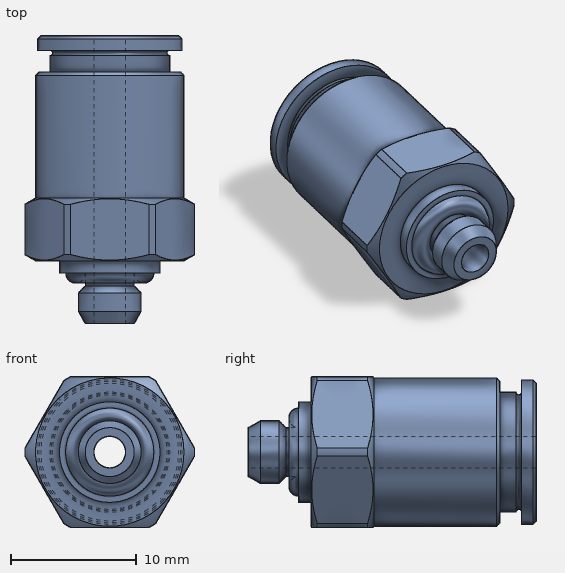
import cadquery as cq
import math

total_length = 22.9
bore_diameter = 2.5

nipple_radius = 5.0 / 2
neck_radius = 3.9 / 2
tip_radius = neck_radius
tip_chamfer_end = 0.98
nipple_end = 2.45
neck_start = 3.0

flange_radius = 8.0 / 2
flange_start = 4.0
seal_outer_radius = 7.0 / 2
seal_middle_radius = (seal_outer_radius + neck_radius) / 2
seal_section_radius = (seal_outer_radius - neck_radius) / 2

hex_start = 5.0
hex_length = 5.0
hex_end = hex_start + hex_length
hex_flats = 12.0
hex_corners = 13.5
hex_trim_angle = 30.0

body_radius = 11.8 / 2
body_end = total_length - 2.89
edge_chamfer = 0.27

collar_radius = 9.55 / 2
groove_floor_radius = 9.11 / 2
groove_end_radius = 9.35 / 2
cap_radius = 11.5 / 2
cap_start = total_length - 1.2
groove_width = 0.41
groove_start = cap_start - groove_width


def revolve_about_y(profile):
    return profile.close().revolve(360, (0, 0, 0), (0, 1, 0))


def make_nipple():
    """Nipple, neck, seal ring and flange, up to the hexagon."""
    return revolve_about_y(
        cq.Workplane("XY")
        .lineTo(tip_radius, 0)
        .lineTo(nipple_radius, tip_chamfer_end)
        .lineTo(nipple_radius, nipple_end)
        .lineTo(neck_radius, neck_start)
        .lineTo(neck_radius, flange_start)
        .threePointArc(
            (seal_middle_radius, flange_start - seal_section_radius),
            (seal_outer_radius, flange_start),
        )
        .lineTo(flange_radius, flange_start)
        .lineTo(flange_radius, hex_start)
        .lineTo(0, hex_start)
    )


def make_hexagon():
    """Hexagon with flats at top and bottom, trimmed at both ends."""
    prism = (
        cq.Workplane("XZ", origin=(0, hex_end, 0))
        .polygon(6, hex_flats / math.cos(math.pi / 6))
        .extrude(hex_length)
    )
    corner_radius = hex_corners / 2
    trim_length = (corner_radius - body_radius) * math.tan(math.radians(hex_trim_angle))
    envelope = revolve_about_y(
        cq.Workplane("XY")
        .moveTo(0, hex_start)
        .lineTo(body_radius, hex_start)
        .lineTo(corner_radius, hex_start + trim_length)
        .lineTo(corner_radius, hex_end - trim_length)
        .lineTo(body_radius, hex_end)
        .lineTo(0, hex_end)
    )
    return prism.intersect(envelope)


def make_body():
    """Main cylinder and the release sleeve behind it."""
    return revolve_about_y(
        cq.Workplane("XY")
        .moveTo(0, hex_end)
        .lineTo(body_radius, hex_end)
        .lineTo(body_radius, body_end - edge_chamfer)
        .lineTo(body_radius - edge_chamfer, body_end)
        .lineTo(collar_radius, body_end)
        .lineTo(collar_radius, groove_start)
        .threePointArc(
            (groove_floor_radius, groove_start + groove_width / 2),
            (groove_end_radius, cap_start),
        )
        .lineTo(cap_radius, cap_start)
        .lineTo(cap_radius, total_length - edge_chamfer)
        .lineTo(cap_radius - edge_chamfer, total_length)
        .lineTo(0, total_length)
    )


def make_bore():
    return (
        cq.Workplane("XZ", origin=(0, total_length, 0))
        .circle(bore_diameter / 2)
        .extrude(total_length)
    )


result = make_nipple().union(make_hexagon()).union(make_body()).cut(make_bore())